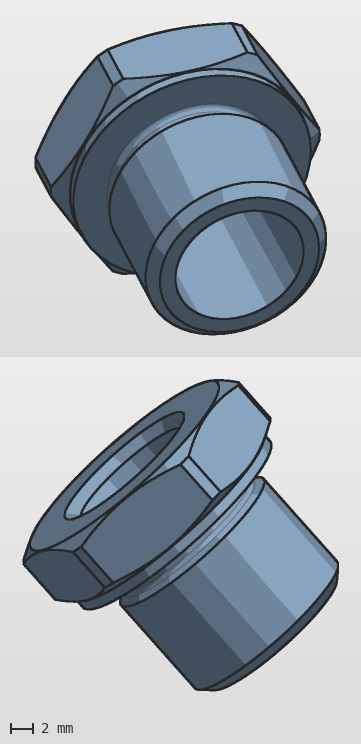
import cadquery as cq
import math

across_flats = 22.0
corner_diameter = 24.8
head_length = 6.0
face_diameter = 21.82
head_chamfer_angle = 30.0

collar_diameter = 21.9
collar_length = 1.0
shank_diameter = 16.67
total_length = 20.0
tip_chamfer = 1.0

undercut_diameter = 14.7
undercut_length = 2.08
fillet_radius = 0.5
runout_angle = 60.0

bore_diameter = 11.83
countersink_diameter = 13.81

collar_end = head_length + collar_length


def revolve_about_x(profile):
    """Turn a closed axial/radial profile about the X axis."""
    return profile.close().revolve(360, (0, 0, 0), (1, 0, 0))


def hex_head():
    """Hexagon with flats facing +/-Z, its corners turned round and chamfered."""
    circumscribed = across_flats / math.cos(math.radians(30))
    prism = cq.Workplane("YZ").polygon(6, circumscribed).extrude(head_length)
    face_radius = face_diameter / 2
    corner_radius = corner_diameter / 2
    chamfer_length = (corner_radius - face_radius) * math.tan(math.radians(head_chamfer_angle))
    envelope = revolve_about_x(
        cq.Workplane("XY")
        .lineTo(0, face_radius)
        .lineTo(chamfer_length, corner_radius)
        .lineTo(head_length - chamfer_length, corner_radius)
        .lineTo(head_length, face_radius)
        .lineTo(head_length, 0)
    )
    return prism.intersect(envelope)


def collar():
    return cq.Workplane("YZ", origin=(head_length, 0, 0)).circle(collar_diameter / 2).extrude(collar_length)


def shank():
    """Shank with a filleted undercut, a sloping runout and a chamfered tip."""
    shank_radius = shank_diameter / 2
    floor_radius = undercut_diameter / 2
    runout = math.radians(runout_angle)
    shank_start = collar_end + undercut_length

    fillet_top = floor_radius + fillet_radius * (1 - math.cos(runout))
    fillet_end = shank_start - (shank_radius - fillet_top) / math.tan(runout)
    floor_end = fillet_end - fillet_radius * math.sin(runout)
    fillet_mid = (
        floor_end + fillet_radius * math.sin(runout / 2),
        floor_radius + fillet_radius * (1 - math.cos(runout / 2)),
    )
    collar_fillet_mid = fillet_radius * (1 - math.cos(math.radians(45)))

    return revolve_about_x(
        cq.Workplane("XY")
        .moveTo(collar_end, 0)
        .lineTo(collar_end, floor_radius + fillet_radius)
        .threePointArc(
            (collar_end + collar_fillet_mid, floor_radius + collar_fillet_mid),
            (collar_end + fillet_radius, floor_radius),
        )
        .lineTo(floor_end, floor_radius)
        .threePointArc(fillet_mid, (fillet_end, fillet_top))
        .lineTo(shank_start, shank_radius)
        .lineTo(total_length - tip_chamfer, shank_radius)
        .lineTo(total_length, shank_radius - tip_chamfer)
        .lineTo(total_length, 0)
    )


def bore():
    """Through bore with a 45 degree countersink in the head face."""
    bore_radius = bore_diameter / 2
    countersink_radius = countersink_diameter / 2
    countersink_depth = countersink_radius - bore_radius
    return revolve_about_x(
        cq.Workplane("XY")
        .lineTo(0, countersink_radius)
        .lineTo(countersink_depth, bore_radius)
        .lineTo(total_length, bore_radius)
        .lineTo(total_length, 0)
    )


result = hex_head().union(collar()).union(shank()).cut(bore())